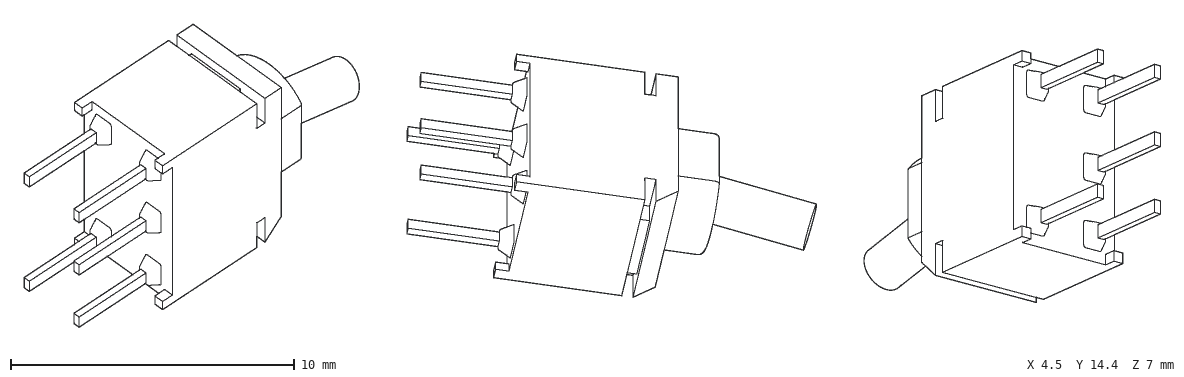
import cadquery as cq
import math

overall_length = 14.39
body_width = 4.5
body_height = 7.0
foot_size = 0.4
foot_length = 0.48
body_front = 5.8

flange_thickness = 0.8
slot_width = 0.4
slot_depth = 0.4
notch_depth = 1.2
slot_floor_left = -1.5
slot_floor_right = 1.0
bevel_height = 0.73

bushing_diameter = 4.32
bushing_flats = 3.45
bushing_length = 1.6
bushing_round = 0.2

lever_diameter = 1.7
lever_tilt = 12.5
lever_pivot_y = 6.4

pitch = 2.54
pin_thickness = 0.27
pin_width = 0.5
pin_length = 3.27
collar_width = 0.8
collar_height = 1.03
collar_length = foot_length
collar_taper = 20.0
collar_round = 0.11
terminal_places = [
    (-pitch / 2, pitch),
    (pitch / 2, pitch),
    (pitch / 2, 0),
    (-pitch / 2, -pitch),
    (pitch / 2, -pitch),
]

slot_front = body_front - flange_thickness
slot_back = slot_front - slot_width


def block(x_range, y_range, z_range):
    """Box spanning the given (low, high) limits."""
    limits = (x_range, y_range, z_range)
    sizes = [high - low for low, high in limits]
    corner = tuple(low for low, high in limits)
    return cq.Workplane("XY").box(*sizes, centered=False).translate(corner)


def make_case():
    """Case and flange with a bevelled lower front edge."""
    half_width = body_width / 2
    half_height = body_height / 2
    profile = [
        (foot_length, half_height),
        (body_front, half_height),
        (body_front, bevel_height - half_height),
        (slot_front, -half_height),
        (foot_length, -half_height),
    ]
    return cq.Workplane("YZ").polyline(profile).close().extrude(half_width, both=True)


def make_feet():
    """Four square standoff feet on the corners of the rear face."""
    foot_x = (body_width - foot_size) / 2
    foot_z = (body_height - foot_size) / 2
    feet = cq.Workplane("XZ").rect(2 * foot_x, 2 * foot_z, forConstruction=True).vertices()
    return feet.rect(foot_size, foot_size).extrude(-foot_length)


def cut_slots(case):
    """Cut the top and bottom slots, deeper at both ends than in the middle."""
    half_width = body_width / 2
    half_height = body_height / 2
    slot_y = (slot_back, slot_front)
    steps = [
        ((-half_width, slot_floor_left), notch_depth),
        ((slot_floor_left, slot_floor_right), slot_depth),
        ((slot_floor_right, half_width), notch_depth),
    ]
    for slot_x, depth in steps:
        top = block(slot_x, slot_y, (half_height - depth, half_height))
        case = case.cut(top).cut(top.mirror("XY"))
    return case


def make_bushing():
    """Round bushing with flats on both X sides and a rounded front edge."""
    bushing = cq.Workplane("XZ", origin=(0, body_front, 0)).circle(bushing_diameter / 2)
    bushing = bushing.extrude(-bushing_length)
    flats = block(
        (-bushing_flats / 2, bushing_flats / 2),
        (body_front, body_front + bushing_length),
        (-bushing_diameter / 2, bushing_diameter / 2),
    )
    return bushing.intersect(flats).faces(">Y").edges().fillet(bushing_round)


def make_lever():
    """Lever leaning downwards from its pivot on the bushing axis."""
    tilt = math.radians(lever_tilt)
    direction = (0, math.cos(tilt), -math.sin(tilt))
    tip_y = overall_length - pin_length
    tip_centre_y = tip_y - lever_diameter / 2 * math.sin(tilt)
    lever_length = (tip_centre_y - lever_pivot_y) / math.cos(tilt)
    plane = cq.Plane(origin=(0, lever_pivot_y, 0), xDir=(1, 0, 0), normal=direction)
    return cq.Workplane(plane).circle(lever_diameter / 2).extrude(lever_length)


def make_terminal(x, z):
    """Flat pin leaving the rear face through a tapered, rounded collar."""
    rear_face = cq.Workplane("XZ", origin=(x, foot_length, z))
    collar = rear_face.rect(collar_width, collar_height).extrude(collar_length, taper=collar_taper)
    collar = collar.edges("not >Y").fillet(collar_round)
    pin = rear_face.rect(pin_thickness, pin_width).extrude(foot_length + pin_length)
    return collar.union(pin)


result = cut_slots(make_case())
result = result.union(make_feet())
result = result.union(make_bushing())
result = result.union(make_lever())
for pin_x, pin_z in terminal_places:
    result = result.union(make_terminal(pin_x, pin_z))